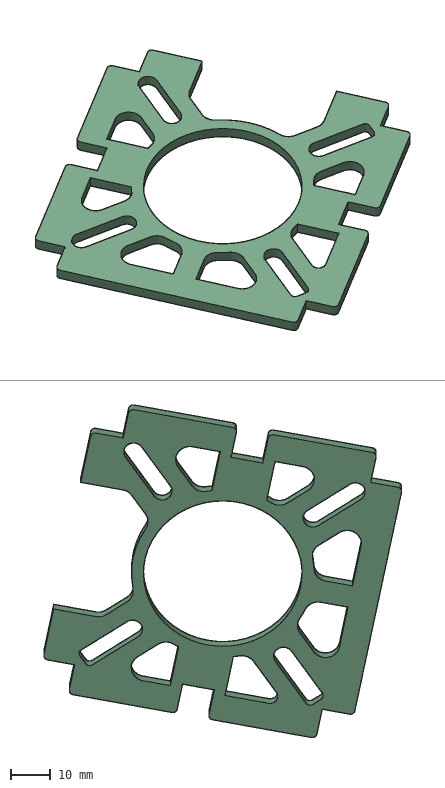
import cadquery as cq
import math

plate_size = 80.0
thickness = 3.0
notch_depth = 8.2
side_notch_width = 8.2
corner_radius = 1.2

bore_radius = 20.0
ring_radius = 23.0

slot_width = 5.0
slot_inner_distance = 27.4
slot_outer_distance = 40.3
flat_end_distance = 42.6

pocket_reach = 32.8
pocket_radius = 3.6
tight_pocket_radius = 1.9
slot_wall = 4.6
bottom_rib = 6.0
side_wall = 3.0

half_size = plate_size / 2
neck = half_size - notch_depth
side_pocket_start = side_notch_width / 2 + side_wall

slope_offset = slot_width / 2 + slot_wall
slope_shift = slope_offset * math.sqrt(2)


def block(x_min, x_max, y_min, y_max):
    """Full-thickness rectangular block."""
    return (
        cq.Workplane("XY")
        .box(x_max - x_min, y_max - y_min, thickness, centered=False)
        .translate((x_min, y_min, 0))
    )


def disc(radius):
    """Full-thickness disc at the plate centre."""
    return cq.Workplane("XY").circle(radius).extrude(thickness)


def round_corner(body, corner, radius):
    """Fillet the vertical edge that stands at the given corner."""
    x, y = corner
    edge = cq.selectors.NearestToPointSelector((x, y, thickness / 2))
    return body.edges("|Z").edges(edge).fillet(radius)


def make_plate():
    """Square plate with square corner notches and a notch in each side edge."""
    plate = block(-half_size, half_size, -neck, neck).union(block(-neck, neck, -half_size, half_size))
    half_notch = side_notch_width / 2
    plate = plate.cut(block(-half_size, -neck, -half_notch, half_notch))
    plate = plate.cut(block(neck, half_size, -half_notch, half_notch))
    for x_sign in (-1, 1):
        for y_sign in (-1, 1):
            for x, y in ((neck, half_size), (half_size, neck), (half_size, half_notch)):
                plate = round_corner(plate, (x_sign * x, y_sign * y), corner_radius)
    return plate


def make_pocket(start, outer_radius=pocket_radius, round_start=False):
    """Pocket above the 45 degree line, from x = start to the slope, outside the ring."""
    tip = (pocket_reach - slope_shift, pocket_reach)
    pocket = (
        cq.Workplane("XY")
        .polyline([(start, start + slope_shift), tip, (start, pocket_reach)])
        .close()
        .extrude(thickness)
        .cut(disc(ring_radius))
    )
    along_slope = math.sqrt(ring_radius**2 - slope_offset**2)
    slope_foot = (
        (along_slope - slope_offset) / math.sqrt(2),
        (along_slope + slope_offset) / math.sqrt(2),
    )
    pocket = round_corner(pocket, tip, outer_radius)
    pocket = round_corner(pocket, slope_foot, pocket_radius)
    if round_start:
        ring_foot = (start, math.sqrt(ring_radius**2 - start**2))
        pocket = round_corner(pocket, ring_foot, pocket_radius)
    return pocket


def mirror_x(body):
    """Reflect left to right."""
    return body.mirror("YZ")


def mirror_y(body):
    """Reflect top to bottom."""
    return body.mirror("XZ")


def swap_axes(body):
    """Reflect in the 45 degree line, swapping X and Y."""
    return body.mirror("YZ").rotate((0, 0, 0), (0, 0, 1), -90)


def make_opening():
    """Opening in the top edge: a pair of pockets joined and run out through the edge."""
    half_opening = make_pocket(0)
    tip_to_tangent = pocket_radius / math.tan(math.pi / 8)
    half_width = pocket_reach - slope_shift - tip_to_tangent + pocket_radius
    channel = block(-half_width, half_width, pocket_reach - pocket_radius, half_size)
    return channel.union(half_opening).union(mirror_x(half_opening))


def make_slot(flat_outer_end):
    """Slot along the 45 degree line with a round or a flat, corner-rounded outer end."""
    half_width = slot_width / 2
    slot_end = flat_end_distance if flat_outer_end else slot_outer_distance
    slot = block(slot_inner_distance, slot_end, -half_width, half_width)
    if flat_outer_end:
        for side in (-half_width, half_width):
            slot = round_corner(slot, (slot_end, side), corner_radius)
    else:
        slot = slot.union(disc(half_width).translate((slot_end, 0, 0)))
    slot = slot.union(disc(half_width).translate((slot_inner_distance, 0, 0)))
    return slot.rotate((0, 0, 0), (0, 0, 1), 45)


result = make_plate().cut(disc(bore_radius)).cut(make_opening())

right_slot = make_slot(flat_outer_end=True)
left_slot = mirror_x(make_slot(flat_outer_end=False))
for slot in (right_slot, left_slot):
    result = result.cut(slot).cut(mirror_y(slot))

bottom_pocket = mirror_y(make_pocket(bottom_rib / 2, round_start=True))
result = result.cut(bottom_pocket).cut(mirror_x(bottom_pocket))

side_pocket = swap_axes(make_pocket(side_pocket_start))
tight_pocket = swap_axes(make_pocket(side_pocket_start, tight_pocket_radius))
result = result.cut(side_pocket).cut(mirror_x(side_pocket))
result = result.cut(mirror_x(mirror_y(side_pocket))).cut(mirror_y(tight_pocket))